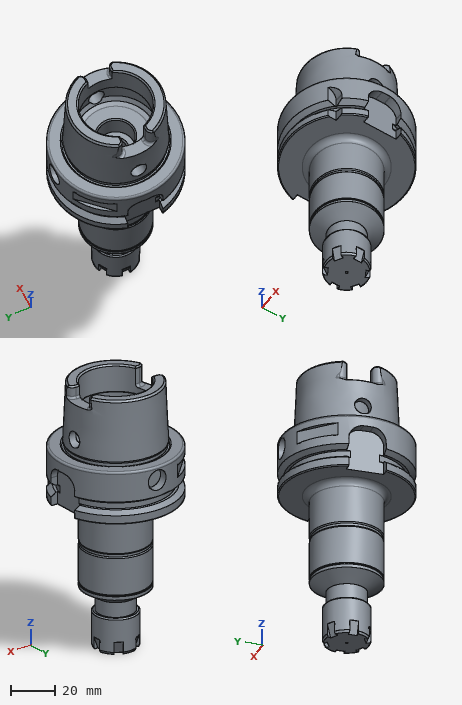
import cadquery as cq
import math

total_height = 132.0

nut_radius = 22.2 / 2
nut_height = 18.0
nut_top_chamfer = 0.7
nut_bottom_chamfer_height = 1.2
nut_bottom_chamfer_width = 0.5
nut_slot_count = 6
nut_slot_width = 4.2
nut_slot_height = 6.2
nut_slot_floor_top_radius = 10.8
nut_slot_floor_bottom_radius = 8.6
coolant_hole_radius = 0.5

neck_radius = 9.5
neck_top = 25.3
body_radius = 17.0
body_bottom = 30.0
body_fillet = 3.2
mark_groove_bottom = 31.7
mark_groove_height = 0.7
mark_groove_depth = 0.3
body_groove_bottom = 50.7
body_groove_height = 2.5
body_groove_depth = 0.4
body_groove_chamfer = 0.7

flange_radius = 63.0 / 2
flange_bottom = 74.3
flange_top = 100.3
flange_bottom_chamfer = 0.5
flange_top_fillet = 1.0
lower_rim_top = 78.7
upper_rim_bottom = 85.5
gripper_groove_radius = 27.3
rim_slope_height = 1.7
rim_slope_width = 2.8

shank_base_radius = 24.2
shank_base = 102.2
shank_top_radius = 22.8
shank_relief_radius = 23.6
shank_relief_depth = 0.7
shank_relief_top = 101.2
flange_face_inner_radius = 25.2
shank_edge_chamfer = 0.9

mouth_radius = 17.0
mouth_chamfer = 0.8
lip_bottom = 118.7
clamp_slope_height = 1.7
clamp_radius = 20.0
clamp_floor_edge = 106.4
clamp_floor_chamfer_width = 1.6
clamp_floor_chamfer_height = 2.0
cavity_floor = 104.0
cavity_floor_radius = 16.0
thread_radius = 8.8
thread_chamfer = 0.7
thread_depth = 10.5
inner_bore_radius = 5.1
inner_bore_chamfer = 0.8
inner_bore_depth = 10.5
nozzle_radius = 1.5
nozzle_chamfer = 0.5
nozzle_depth = 5.3

cross_hole_radius = 4.0
cross_hole_height = 108.9

drive_slot_half_width = 6.1
drive_slot_end_radius = 2.9
drive_slot_end_center_x = 18.1
drive_slot_end_tilt = 25.0
drive_slot_reach = 39.6
deep_slot_floor = 122.0
deep_slot_fillet = 1.5
shallow_slot_floor = 125.9
shallow_slot_fillet = 1.0

keyway_width = 17.8
keyway_floor = 26.4
keyway_top = 94.9
keyway_corner_radius = 6.6
notch_floor = 20.0
notch_wall = 19.8
flat_height = 6.1
flat_middle = 93.0
flat_distance = 29.7
flat_angle = 135.0
chip_hole_radius = 5.0
chip_hole_depth = 4.5
chip_hole_height = 93.6


def revolve_profile(points):
    """Revolve an outline of (radius, height) points about the Z axis."""
    return cq.Workplane("XZ").polyline(points).close().revolve(360, (0, 0, 0), (0, 1, 0))


def vertical_cylinder(radius, bottom, top):
    return cq.Workplane("XY").workplane(offset=bottom).circle(radius).extrude(top - bottom)


def make_nut():
    """Round nut with spanner slots around its lower edge."""
    blank = revolve_profile([
        (0, 0),
        (nut_radius - nut_bottom_chamfer_width, 0),
        (nut_radius, nut_bottom_chamfer_height),
        (nut_radius, nut_height - nut_top_chamfer),
        (nut_radius - nut_top_chamfer, nut_height),
        (0, nut_height),
    ])
    slot = (
        cq.Workplane("XZ")
        .moveTo(nut_slot_floor_bottom_radius, 0)
        .lineTo(nut_slot_floor_top_radius, nut_slot_height)
        .lineTo(2 * nut_radius, nut_slot_height)
        .lineTo(2 * nut_radius, 0)
        .close()
        .extrude(nut_slot_width / 2, both=True)
    )
    for index in range(nut_slot_count):
        blank = blank.cut(slot.rotate((0, 0, 0), (0, 0, 1), index * 360 / nut_slot_count))
    return blank.cut(vertical_cylinder(coolant_hole_radius, 0, nut_height))


def make_holder_blank():
    """Turned outside of the holder, from the neck up to the top of the shank."""
    groove_radius = body_radius - body_groove_depth
    mark_radius = body_radius - mark_groove_depth
    mark_groove_top = mark_groove_bottom + mark_groove_height
    body_groove_top = body_groove_bottom + body_groove_height
    slope_radius = flange_radius - rim_slope_width
    fillet_middle = body_fillet * (1 - math.sqrt(0.5))
    outline = (
        cq.Workplane("XZ")
        .moveTo(0, nut_height)
        .lineTo(neck_radius, nut_height)
        .lineTo(neck_radius, neck_top)
        .lineTo(body_radius, body_bottom)
        .lineTo(body_radius, mark_groove_bottom)
        .lineTo(mark_radius, mark_groove_bottom)
        .lineTo(mark_radius, mark_groove_top)
        .lineTo(body_radius, mark_groove_top)
        .lineTo(body_radius, body_groove_bottom)
        .lineTo(groove_radius, body_groove_bottom + body_groove_chamfer)
        .lineTo(groove_radius, body_groove_top - body_groove_chamfer)
        .lineTo(body_radius, body_groove_top)
        .lineTo(body_radius, flange_bottom - body_fillet)
        .threePointArc(
            (body_radius + fillet_middle, flange_bottom - fillet_middle),
            (body_radius + body_fillet, flange_bottom),
        )
        .lineTo(flange_radius - flange_bottom_chamfer, flange_bottom)
        .lineTo(flange_radius, flange_bottom + flange_bottom_chamfer)
        .lineTo(flange_radius, lower_rim_top)
        .lineTo(slope_radius, lower_rim_top + rim_slope_height)
        .lineTo(gripper_groove_radius, lower_rim_top + rim_slope_height)
        .lineTo(gripper_groove_radius, upper_rim_bottom - rim_slope_height)
        .lineTo(slope_radius, upper_rim_bottom - rim_slope_height)
        .lineTo(flange_radius, upper_rim_bottom)
        .lineTo(flange_radius, flange_top - flange_top_fillet)
        .radiusArc((flange_radius - flange_top_fillet, flange_top), -flange_top_fillet)
        .lineTo(flange_face_inner_radius, flange_top)
        .lineTo(flange_face_inner_radius - shank_relief_depth, flange_top - shank_relief_depth)
        .lineTo(shank_relief_radius, flange_top - shank_relief_depth)
        .lineTo(shank_relief_radius, shank_relief_top)
        .lineTo(shank_base_radius, shank_base)
        .lineTo(shank_top_radius, total_height - shank_edge_chamfer)
        .lineTo(shank_top_radius - shank_edge_chamfer, total_height)
        .lineTo(0, total_height)
        .close()
    )
    return outline.revolve(360, (0, 0, 0), (0, 1, 0))


def make_cavity():
    """Clamping cavity, thread bore, inner bore and nozzle, open at the shank's top."""
    thread_floor = cavity_floor - thread_depth
    inner_bore_floor = thread_floor - inner_bore_depth
    nozzle_floor = inner_bore_floor - nozzle_depth
    return revolve_profile([
        (0, nozzle_floor),
        (nozzle_radius, nozzle_floor),
        (nozzle_radius, inner_bore_floor - nozzle_chamfer),
        (nozzle_radius + nozzle_chamfer, inner_bore_floor),
        (inner_bore_radius, inner_bore_floor),
        (inner_bore_radius, thread_floor - inner_bore_chamfer),
        (inner_bore_radius + inner_bore_chamfer, thread_floor),
        (thread_radius, thread_floor),
        (thread_radius, cavity_floor - thread_chamfer),
        (thread_radius + thread_chamfer, cavity_floor),
        (cavity_floor_radius, cavity_floor),
        (clamp_radius - clamp_floor_chamfer_width, clamp_floor_edge - clamp_floor_chamfer_height),
        (clamp_radius, clamp_floor_edge),
        (clamp_radius, lip_bottom - clamp_slope_height),
        (mouth_radius, lip_bottom),
        (mouth_radius, total_height - mouth_chamfer),
        (mouth_radius + mouth_chamfer, total_height),
        (0, total_height),
    ])


def drive_slot_outline(bottom):
    """Plan of a slot through the +X wall of the shank, flaring around the ends of both lobes."""
    center_x = drive_slot_end_center_x
    center_y = drive_slot_half_width + drive_slot_end_radius
    tilt = math.radians(drive_slot_end_tilt)
    middle = (tilt - math.pi / 2) / 2
    arc_middle = (
        center_x + drive_slot_end_radius * math.cos(middle),
        center_y + drive_slot_end_radius * math.sin(middle),
    )
    arc_end = (
        center_x + drive_slot_end_radius * math.cos(tilt),
        center_y + drive_slot_end_radius * math.sin(tilt),
    )
    tip_y = flange_radius
    tip_x = arc_end[0] - (tip_y - arc_end[1]) * math.tan(tilt)
    return (
        cq.Workplane("XY")
        .workplane(offset=bottom)
        .moveTo(0, -drive_slot_half_width)
        .lineTo(center_x, -drive_slot_half_width)
        .threePointArc((arc_middle[0], -arc_middle[1]), (arc_end[0], -arc_end[1]))
        .lineTo(tip_x, -tip_y)
        .lineTo(drive_slot_reach, -tip_y)
        .lineTo(drive_slot_reach, tip_y)
        .lineTo(tip_x, tip_y)
        .lineTo(*arc_end)
        .threePointArc(arc_middle, (center_x, drive_slot_half_width))
        .lineTo(0, drive_slot_half_width)
        .close()
    )


def make_drive_slot(floor, fillet):
    """Cutter with rounded floor corners, widened at the top to bevel the lobe ends."""
    cutter = drive_slot_outline(floor).extrude(total_height - floor)
    bevel = drive_slot_outline(total_height - mouth_chamfer).extrude(mouth_chamfer, taper=-45)
    cutter = cutter.faces("<Z").edges("not(>X or <X or >Y or <Y)").fillet(fillet)
    return cutter.union(bevel)


def make_keyway(floor, side_y):
    """Round-topped cutter, open at the flange's bottom, with one wall at side_y and a floor at +X."""
    bottom = flange_bottom - keyway_corner_radius
    return (
        cq.Workplane("XY")
        .box(flange_radius, keyway_width, keyway_top - bottom, centered=(False, False, False))
        .edges("|X and >Z")
        .fillet(keyway_corner_radius)
        .translate((floor, side_y, bottom))
        .cut(vertical_cylinder(body_radius + body_fillet, bottom, flange_bottom))
    )


def make_identification_flat():
    """Cutter for a shallow flat on the flange's rim."""
    return (
        cq.Workplane("XY")
        .box(flange_radius, 2 * flange_radius, flat_height, centered=(False, True, True))
        .translate((flat_distance, 0, flat_middle))
        .rotate((0, 0, 0), (0, 0, 1), flat_angle)
    )


def make_chip_hole():
    """Cutter for the blind round hole on the flange's +Y side."""
    return (
        cq.Workplane("XZ", origin=(0, flange_radius, chip_hole_height))
        .circle(chip_hole_radius)
        .extrude(chip_hole_depth)
    )


def make_cross_hole():
    return (
        cq.Workplane("YZ", origin=(-flange_radius, 0, cross_hole_height))
        .circle(cross_hole_radius)
        .extrude(2 * flange_radius)
    )


def make_holder():
    half_turn = ((0, 0, 0), (0, 0, 1), 180)
    holder = make_holder_blank().cut(make_cavity())

    holder = holder.cut(make_drive_slot(shallow_slot_floor, shallow_slot_fillet))
    holder = holder.cut(make_drive_slot(deep_slot_floor, deep_slot_fillet).rotate(*half_turn))

    keyway = make_keyway(keyway_floor, -keyway_width / 2)
    holder = holder.cut(keyway).cut(keyway.rotate(*half_turn))
    holder = holder.cut(make_keyway(notch_floor, -notch_wall - keyway_width))

    holder = holder.cut(make_identification_flat())
    holder = holder.cut(make_chip_hole())
    holder = holder.cut(make_cross_hole())
    return holder.cut(vertical_cylinder(coolant_hole_radius, nut_height, total_height))


nut = make_nut()
holder = make_holder()
result = cq.Compound.makeCompound([holder.val(), nut.val()])